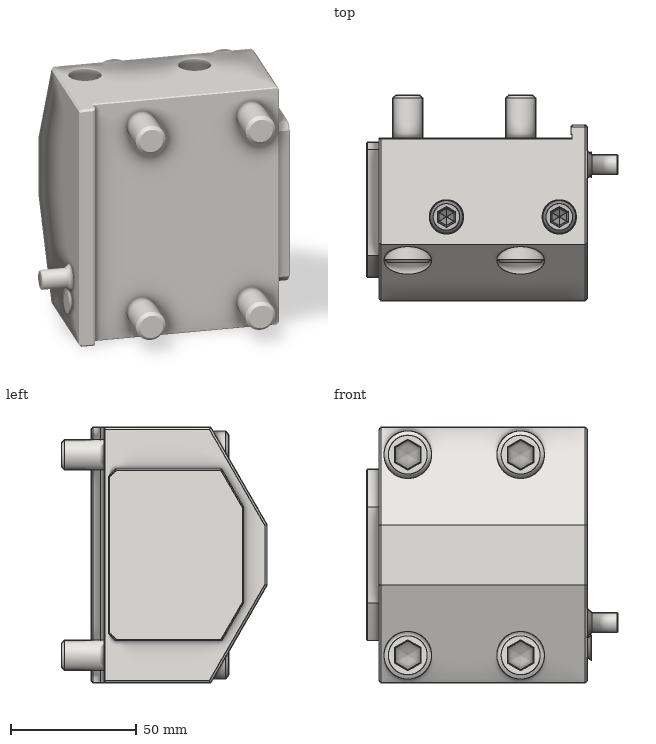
import cadquery as cq
import math

length = 83.1
height = 102.0
back = 65.0
front_flat = 24.1
bevel_angle = math.radians(30)
bevel_depth = (height - front_flat) / 2 * math.tan(bevel_angle)
end_chamfer = 0.9
back_chamfer = 0.4

lip_width = 6.6
lip_tip = 70.2
lip_chamfer = 0.8
relief_height = 1.4
relief_depth = 0.4

plate_thickness = 5.0
plate_half_height = 34.2
plate_front = 9.4
plate_back = 63.2
plate_front_flat = 38.1
plate_bevel = (plate_half_height - plate_front_flat / 2) * math.tan(bevel_angle)
plate_corner = 2.9
plate_chamfer = 0.5

screw_pitch_x = 45.0
screw_pitch_z = 80.0
screw_first_x = 11.5
screw_radius = 6.0
screw_tip = 82.0
screw_tip_chamfer = 1.2
head_radius = 9.5
head_front = 15.2
bore_start = -1.0
head_chamfer = 1.3
head_chamfer_width = 1.7
socket_width = 10.6
socket_floor_width = 10.0
socket_depth = 6.1
socket_point = 1.5
socket_tip_width = 0.2

clamp_first_x = 26.9
clamp_y = 33.5
clamp_radius = 6.5
clamp_sink = 6.3
clamp_mouth_chamfer = 0.3
clamp_head_chamfer = 1.2
clamp_socket_width = 7.1
clamp_socket_floor_width = 5.9
clamp_socket_depth = 4.1
clamp_socket_point = 1.5

pin_y = 54.3
pin_z = -26.9
pin_radius = 4.0
pin_length = 12.2
pin_chamfer = 0.4
collar_radius = 5.5
collar_length = 1.8
plug_spacing = 10.0
plug_root_radius = 3.9
plug_radius = 5.1
plug_length = 1.5


def bevelled_outline(front, rear, half_height, half_flat, bevel):
    """Closed Y-Z outline with a flat front and two sloping front corners."""
    return cq.Workplane("YZ").polyline([
        (rear, -half_height),
        (front + bevel, -half_height),
        (front, -half_flat),
        (front, half_flat),
        (front + bevel, half_height),
        (rear, half_height),
    ]).close()


def make_block():
    lip_left = length - lip_width
    plan = (
        cq.Workplane("XY", origin=(0, 0, -height / 2))
        .polyline([
            (0, 0),
            (length, 0),
            (length, lip_tip),
            (lip_left, lip_tip),
            (lip_left, back + relief_height),
            (lip_left + relief_depth, back + relief_height),
            (lip_left + relief_depth, back),
            (0, back),
        ]).close().extrude(height)
    )
    profile = bevelled_outline(0, lip_tip, height / 2, front_flat / 2, bevel_depth).extrude(length)
    block = plan.intersect(profile)
    block = block.faces("<X").edges("not >Y").chamfer(end_chamfer)
    block = block.faces(">X").edges("not >Y").chamfer(end_chamfer)
    block = block.faces(">Y").edges().chamfer(lip_chamfer)
    back_face = cq.NearestToPointSelector((length / 2, back, 0))
    return block.faces(back_face).edges("not >X").chamfer(back_chamfer)


def make_plate():
    plate = bevelled_outline(
        plate_front, plate_back, plate_half_height, plate_front_flat / 2, plate_bevel
    ).extrude(-plate_thickness)
    plate = plate.faces(">Y").edges("|X").chamfer(plate_corner)
    return plate.faces("<X").edges().chamfer(plate_chamfer)


def hex_points(width):
    """Hexagon corners for a width across flats, with two corners on the local Y axis."""
    corner = width / 2 / math.cos(math.pi / 6)
    angles = [math.radians(30 + 60 * i) for i in range(6)]
    return [(corner * math.cos(a), corner * math.sin(a)) for a in angles]


def hex_socket(mouth_width, floor_width, depth, point):
    """Socket cutter going down from Z = 0: a hexagonal well ending in a shallow hexagonal point."""
    well = (
        cq.Workplane("XY").polyline(hex_points(mouth_width)).close()
        .workplane(offset=-depth).polyline(hex_points(floor_width)).close()
        .loft(ruled=True)
    )
    end = (
        cq.Workplane("XY").workplane(offset=-depth).polyline(hex_points(floor_width)).close()
        .workplane(offset=-point).polyline(hex_points(socket_tip_width)).close()
        .loft(ruled=True)
    )
    return well.union(end)


def cylinder_y(x, z, radius, start, end):
    return (
        cq.Workplane("XZ", origin=(x, start, z))
        .circle(radius).extrude(start - end)
    )


def add_mounting_screw(body, x, z):
    body = body.cut(cylinder_y(x, z, head_radius, bore_start, bevel_depth))
    head = (
        cylinder_y(x, z, head_radius, head_front, bevel_depth)
        .faces("<Y").chamfer(head_chamfer, head_chamfer_width)
    )
    shank = (
        cylinder_y(x, z, screw_radius, bevel_depth, screw_tip)
        .faces(">Y").chamfer(screw_tip_chamfer)
    )
    socket = (
        hex_socket(socket_width, socket_floor_width, socket_depth, socket_point)
        .rotate((0, 0, 0), (1, 0, 0), 90)
        .translate((x, head_front, z))
    )
    return body.union(head).union(shank).cut(socket)


def sink_clamp_screw(body, x):
    top = height / 2
    head_top = top - clamp_sink
    mouth_radius = clamp_radius + clamp_mouth_chamfer
    face_radius = clamp_radius - clamp_head_chamfer
    opening = (
        cq.Workplane("XZ")
        .polyline([
            (0, top),
            (mouth_radius, top),
            (clamp_radius, top - clamp_mouth_chamfer),
            (clamp_radius, head_top - clamp_head_chamfer),
            (face_radius, head_top),
            (0, head_top),
        ]).close()
        .revolve(360, (0, 0, 0), (0, 1, 0))
        .translate((x, clamp_y, 0))
    )
    socket = hex_socket(
        clamp_socket_width, clamp_socket_floor_width, clamp_socket_depth, clamp_socket_point
    ).translate((x, clamp_y, head_top))
    return body.cut(opening).cut(socket)


def cone_x(z, start_radius, end_radius, cone_length):
    """Cone standing on the right face at the pin's Y position."""
    return cq.Workplane(cq.Solid.makeCone(
        start_radius, end_radius, cone_length,
        pnt=cq.Vector(length, pin_y, z), dir=cq.Vector(1, 0, 0),
    ))


def add_pin_and_plug(body):
    pin = (
        cq.Workplane("YZ", origin=(length, pin_y, pin_z))
        .circle(pin_radius).extrude(pin_length)
        .faces(">X").chamfer(pin_chamfer)
    )
    collar = cone_x(pin_z, collar_radius, pin_radius, collar_length)
    plug = cone_x(pin_z - plug_spacing, plug_root_radius, plug_radius, plug_length)
    return body.union(pin).union(collar).union(plug)


result = make_block().union(make_plate())
for column in range(2):
    screw_x = screw_first_x + column * screw_pitch_x
    for side in (-1, 1):
        result = add_mounting_screw(result, screw_x, side * screw_pitch_z / 2)
    result = sink_clamp_screw(result, clamp_first_x + column * screw_pitch_x)
result = add_pin_and_plug(result)